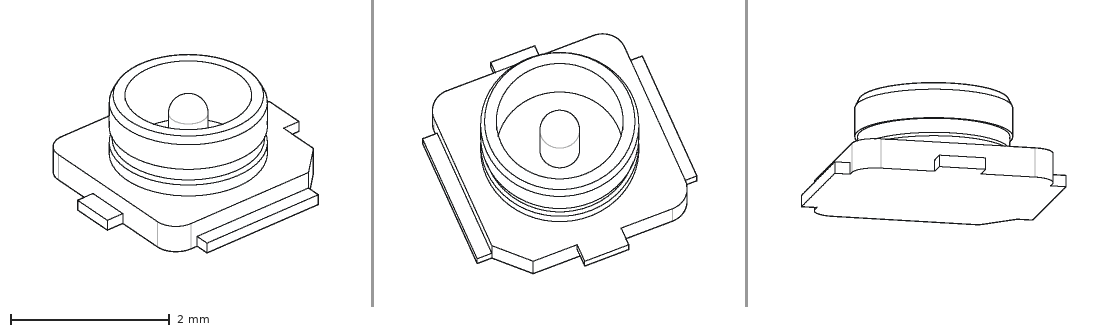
import cadquery as cq

span_x = 3.0
span_y = 3.1
total_height = 1.25

base_side = 2.6
base_height = 0.38
corner_radius = 0.3
corner_chamfer = 0.4

tab_thickness = 0.15
side_tab_length = 1.8
end_tab_width = 0.6

ring_radius = 0.998
bore_radius = 0.8
groove_depth = 0.037
groove_top = 0.78
groove_bottom = 0.598
groove_slope_height = 0.053
rim_chamfer_height = 0.1
rim_chamfer_width = 0.05

pin_radius = 0.25
pin_top = 1.23


def make_base():
    """Square plate with three rounded corners and one chamfered corner."""
    plate = cq.Workplane("XY").box(base_side, base_side, base_height, centered=(True, True, False))
    keyed_corner = cq.selectors.NearestToPointSelector((base_side / 2, base_side / 2, base_height / 2))
    plate = plate.edges("|Z").edges(keyed_corner).chamfer(corner_chamfer)
    return plate.edges("|Z and (<X or <Y)").fillet(corner_radius)


def make_side_tabs():
    """Low bar through the base, standing out on both X sides."""
    return cq.Workplane("XY").box(span_x, side_tab_length, tab_thickness, centered=(True, True, False))


def make_end_tab(direction, bottom):
    """Tab standing out of the base along Y; direction is +1 or -1."""
    reach = (span_y - base_side) / 2
    return (
        cq.Workplane("XY")
        .box(end_tab_width, 2 * reach, tab_thickness, centered=(True, True, False))
        .translate((0, direction * base_side / 2, bottom))
    )


def make_ring():
    """Revolved ring with a chamfered rim and an outer groove."""
    groove_radius = ring_radius - groove_depth
    profile = [
        (bore_radius, base_height),
        (ring_radius, base_height),
        (ring_radius, groove_bottom - groove_slope_height),
        (groove_radius, groove_bottom),
        (groove_radius, groove_top),
        (ring_radius, groove_top),
        (ring_radius, total_height - rim_chamfer_height),
        (ring_radius - rim_chamfer_width, total_height),
        (bore_radius, total_height),
    ]
    return cq.Workplane("XZ").polyline(profile).close().revolve(360, (0, 0, 0), (0, 1, 0))


def make_pin():
    """Round pin ending in a hemisphere."""
    dome_centre = pin_top - pin_radius
    shank_height = dome_centre - base_height
    shank = cq.Workplane("XY").workplane(offset=base_height).circle(pin_radius).extrude(shank_height)
    dome = cq.Workplane("XY").sphere(pin_radius).translate((0, 0, dome_centre))
    return shank.union(dome)


result = (
    make_base()
    .union(make_side_tabs())
    .union(make_end_tab(-1, 0))
    .union(make_end_tab(1, base_height - tab_thickness))
    .union(make_ring())
    .union(make_pin())
)